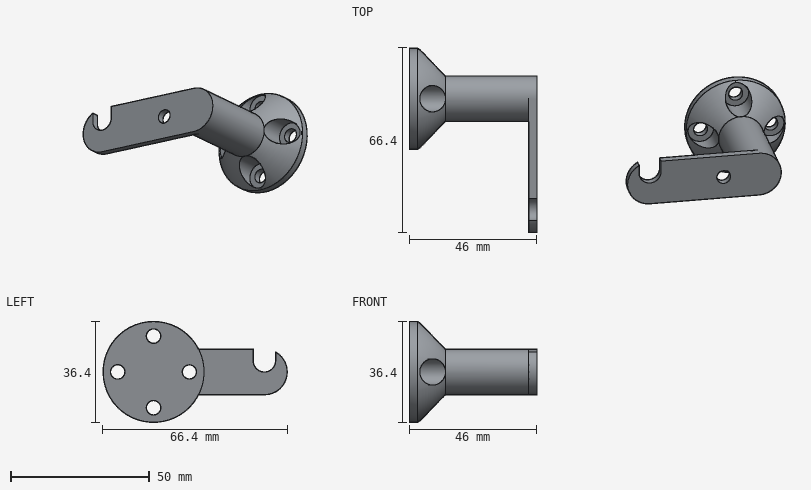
import cadquery as cq
import math

total_length = 46.0
flange_diameter = 36.39
flange_radius = flange_diameter / 2
flange_thickness = 3.0
post_diameter = 16.5
post_radius = post_diameter / 2
flare_end = 13.0
flare_arc_radius = 38.0

screw_count = 4
screw_circle_radius = 12.9
screw_diameter = 5.1
counterbore_diameter = 9.5
counterbore_floor = flange_thickness

arm_thickness = 3.0
arm_start = total_length - arm_thickness
arm_half_height = post_radius
hook_center_y = -39.92
notch_width = 8.0
notch_radius = notch_width / 2
notch_center_z = notch_radius
driver_hole_diameter = 5.0


def x_cylinder(diameter, start, end, y=0.0, z=0.0):
    """Cylinder along X between two X positions."""
    plane = cq.Workplane("YZ", origin=(start, y, z))
    return plane.circle(diameter / 2).extrude(end - start)


def make_post():
    """Flange disc, bulging flare and post turned about the X axis."""
    profile = (
        cq.Workplane("XZ")
        .lineTo(0, flange_radius)
        .lineTo(flange_thickness, flange_radius)
        .radiusArc((flare_end, post_radius), flare_arc_radius)
        .lineTo(total_length, post_radius)
        .lineTo(total_length, 0)
        .close()
    )
    return profile.revolve(360, (0, 0, 0), (1, 0, 0))


def make_arm():
    """Round-ended plate with an open-topped U notch around the hook centre."""
    plane = cq.Workplane("YZ", origin=(arm_start, 0, 0))
    plate = (
        plane.moveTo(0, arm_half_height)
        .lineTo(hook_center_y, arm_half_height)
        .threePointArc((hook_center_y - arm_half_height, 0), (hook_center_y, -arm_half_height))
        .lineTo(0, -arm_half_height)
        .close()
        .extrude(arm_thickness)
    )
    notch_outer = hook_center_y - notch_radius
    notch_inner = hook_center_y + notch_radius
    notch = (
        plane.moveTo(notch_inner, arm_half_height)
        .lineTo(notch_inner, notch_center_z)
        .threePointArc((hook_center_y, notch_center_z - notch_radius), (notch_outer, notch_center_z))
        .lineTo(notch_outer, arm_half_height)
        .close()
        .extrude(arm_thickness)
    )
    return plate.cut(notch)


def cut_screw_holes(body):
    """Screw holes through the flange, counterbored through the flare and clear of it."""
    for index in range(screw_count):
        angle = 2 * math.pi * index / screw_count
        y = screw_circle_radius * math.cos(angle)
        z = screw_circle_radius * math.sin(angle)
        body = body.cut(x_cylinder(screw_diameter, 0, counterbore_floor, y, z))
        body = body.cut(x_cylinder(counterbore_diameter, counterbore_floor, flare_end, y, z))
    return body


def cut_driver_hole(body):
    """Hole through the arm in line with the screw hole behind it."""
    return body.cut(x_cylinder(driver_hole_diameter, arm_start, total_length, -screw_circle_radius))


post = cut_screw_holes(make_post())
result = cut_driver_hole(post.union(make_arm()))